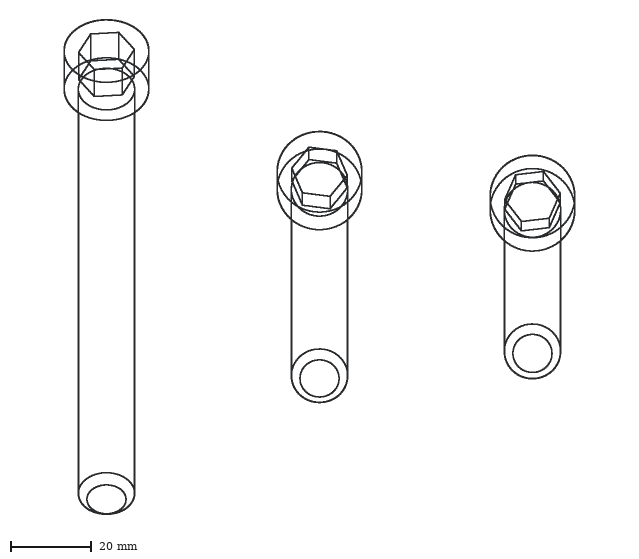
import cadquery as cq
import math

total_length = 164.0
head_diameter = 21.0
head_height = 14.0
shank_diameter = 14.0
tip_chamfer = 2.1
hex_across_flats = 12.0
socket_depth = 9.8

head_base = total_length - head_height
hex_across_corners = hex_across_flats / math.cos(math.pi / 6)

shank = (
    cq.Workplane("XY")
    .circle(shank_diameter / 2)
    .extrude(head_base)
    .faces("<Z")
    .chamfer(tip_chamfer)
)

head = (
    cq.Workplane("XY")
    .workplane(offset=head_base)
    .circle(head_diameter / 2)
    .extrude(head_height)
)

socket = (
    cq.Workplane("XY")
    .workplane(offset=total_length - socket_depth)
    .polygon(6, hex_across_corners)
    .extrude(socket_depth)
)

result = shank.union(head).cut(socket)